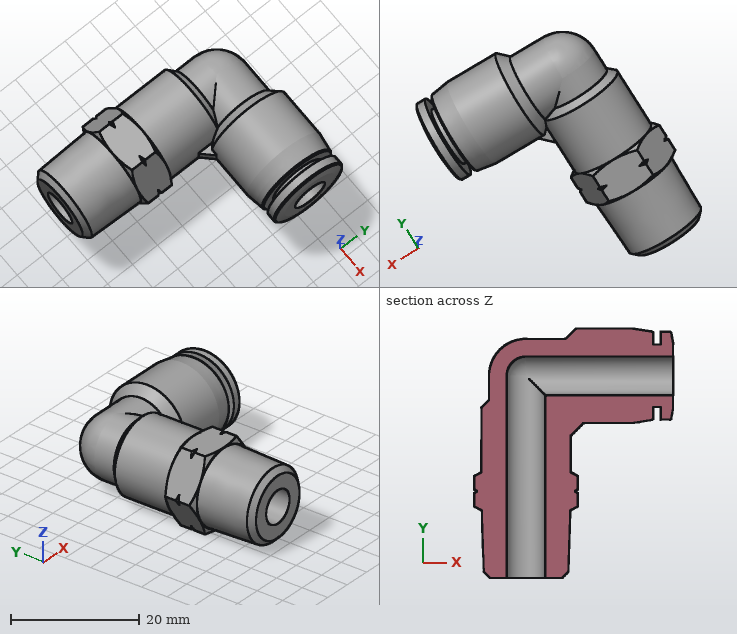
import cadquery as cq
import math


elbow_radius = 5.8
bore_radius = 3.0

shoulder_start = 6.1
shoulder_end = 7.78
socket_taper_start = 16.57
collar_start = 18.55
collar_end = 19.85
ring_start = 20.95
ring_end = 22.95
socket_radius = 7.4
collar_start_radius = 7.08
collar_radius = 6.92
collar_chamfer = 0.2
neck_radius = 4.9
ring_radius = 6.9
ring_edge_length = 0.5
ring_edge_drop = 0.2
ring_crown = 0.3
ring_face_radius = 4.98

body_chamfer_start = 3.77
body_start = 4.95
hex_start = 14.98
hex_length = 6.0
stem_length = 31.5
thread_start_radius = 6.92
thread_end_radius = 6.6
thread_chamfer = 1.0

across_flats = 14.0
body_radius = across_flats / 2
hex_chamfer_angle = 30
groove_depth = 0.45
groove_half_width = 0.29

web_thickness = 2.02
web_diagonal = 16.35

hex_end = hex_start + hex_length
hex_corner_radius = across_flats / math.sqrt(3)


def revolve_stem(profile):
    """Revolve (distance, radius) points about the stem axis."""
    points = [(radius, -distance) for distance, radius in profile]
    return cq.Workplane("XY").polyline(points).close().revolve(360, (0, 0), (0, 1))


def revolve_socket(profile):
    """Revolve (distance, radius) points about the socket axis."""
    return cq.Workplane("XY").polyline(profile).close().revolve(360, (0, 0), (1, 0))


def make_socket():
    return revolve_socket([
        (0, 0),
        (0, elbow_radius),
        (shoulder_start, elbow_radius),
        (shoulder_end, socket_radius),
        (socket_taper_start, socket_radius),
        (collar_start, collar_start_radius),
        (collar_end - collar_chamfer, collar_radius),
        (collar_end, collar_radius - collar_chamfer),
        (collar_end, neck_radius),
        (ring_start, neck_radius),
        (ring_start, ring_radius),
        (ring_end - ring_edge_length, ring_radius),
        (ring_end - ring_crown, ring_radius - ring_edge_drop),
        (ring_end, ring_face_radius),
        (ring_end, 0),
    ])


def make_stem():
    return revolve_stem([
        (0, 0),
        (0, elbow_radius),
        (body_chamfer_start, elbow_radius),
        (body_start, body_radius),
        (hex_start, body_radius),
        (hex_start, thread_start_radius),
        (hex_end, thread_start_radius),
        (stem_length - thread_chamfer, thread_end_radius),
        (stem_length, thread_end_radius - thread_chamfer),
        (stem_length, 0),
    ])


def make_hexagon():
    """Hexagon with both ends chamfered and a V groove around its middle."""
    prism = (
        cq.Workplane("XZ", origin=(0, -hex_start, 0))
        .polygon(6, 2 * hex_corner_radius)
        .extrude(hex_length)
    )
    chamfer_length = (hex_corner_radius - body_radius) * math.tan(math.radians(hex_chamfer_angle))
    hex_middle = hex_start + hex_length / 2
    envelope = revolve_stem([
        (hex_start, 0),
        (hex_start, body_radius),
        (hex_start + chamfer_length, hex_corner_radius),
        (hex_middle - groove_half_width, hex_corner_radius),
        (hex_middle, hex_corner_radius - groove_depth),
        (hex_middle + groove_half_width, hex_corner_radius),
        (hex_end - chamfer_length, hex_corner_radius),
        (hex_end, body_radius),
        (hex_end, 0),
    ])
    return prism.intersect(envelope)


def make_web():
    """Flat web whose sloping edge runs at 45 degrees between the stem and the socket."""
    inner = elbow_radius
    return (
        cq.Workplane("XY")
        .polyline([
            (inner, -inner),
            (web_diagonal - socket_radius, -inner),
            (web_diagonal - socket_radius, -socket_radius),
            (body_radius, body_radius - web_diagonal),
            (inner, body_radius - web_diagonal),
        ])
        .close()
        .extrude(web_thickness / 2, both=True)
    )


def make_bore():
    """Bore along both legs, meeting in a ball at the elbow centre."""
    socket_bore = cq.Workplane("YZ").circle(bore_radius).extrude(ring_end)
    stem_bore = cq.Workplane("XZ").circle(bore_radius).extrude(stem_length)
    return cq.Workplane("XY").sphere(bore_radius).union(socket_bore).union(stem_bore)


elbow_ball = cq.Workplane("XY").sphere(elbow_radius)
body = elbow_ball.union(make_socket()).union(make_stem()).union(make_hexagon()).union(make_web())
result = body.cut(make_bore())